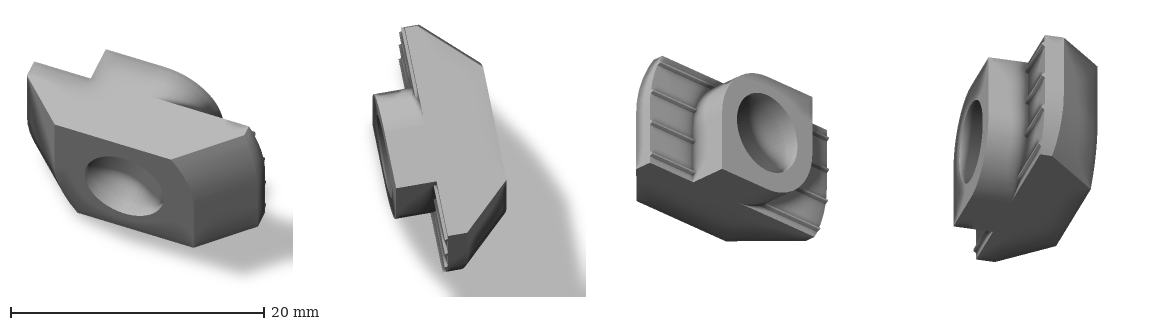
import cadquery as cq
import math

length = 19.6
width = 10.0
body_depth = 5.45
boss_depth = 3.25
bevel_depth = 3.9
hole_diameter = 6.7

rib_height = 0.23
rib_base = 0.48
rib_crest = 0.14
rib_spacing = 2.8
rib_count = 4

half_length = length / 2
half_width = width / 2
total_depth = body_depth + boss_depth
boss_radius = half_width

front_plane = cq.Plane(origin=(0, 0, 0), xDir=(1, 0, 0), normal=(0, -1, 0))


def point_on_circle(radius, height):
    """Distance from the axis along X of a circle point at the given height above the axis."""
    return math.sqrt(radius**2 - height**2)


def turning_block(radius, start, depth):
    """Block with two opposite corners rounded about the hole axis, so the nut can turn in its slot."""
    end_x = point_on_circle(radius, half_width)
    middle_z = half_width / 2
    middle_x = point_on_circle(radius, middle_z)
    return (
        cq.Workplane(front_plane)
        .workplane(offset=-start)
        .moveTo(-radius, half_width)
        .lineTo(end_x, half_width)
        .threePointArc((middle_x, middle_z), (radius, 0))
        .lineTo(radius, -half_width)
        .lineTo(-end_x, -half_width)
        .threePointArc((-middle_x, -middle_z), (-radius, 0))
        .close()
        .extrude(-depth)
    )


def bevel_envelope():
    """Space behind the -X bevel: flat above Z = 0, below it a cylinder whose axis runs along the slope."""
    reach = 2 * length
    middle_z = half_width / 2
    end_inset = half_length - point_on_circle(half_length, half_width)
    middle_inset = half_length - point_on_circle(half_length, middle_z)
    slope_plane = cq.Plane(origin=(-half_length, bevel_depth, 0), xDir=(1, 1, 0), normal=(1, -1, 0))
    return (
        cq.Workplane(slope_plane)
        .moveTo(0, half_width)
        .lineTo(reach, half_width)
        .lineTo(reach, -half_width)
        .lineTo(end_inset, -half_width)
        .threePointArc((middle_inset, -middle_z), (0, 0))
        .close()
        .extrude(reach, both=True)
    )


def body():
    """Main block with both ends of its front face beveled."""
    left_envelope = bevel_envelope()
    right_envelope = left_envelope.rotate((0, 0, 0), (0, 1, 0), 180)
    block = turning_block(half_length, 0, body_depth)
    return block.intersect(left_envelope).intersect(right_envelope)


def ribs():
    """Tapered ribs along X on the rear face, trimmed to the outline of the body."""
    lowest_z = -rib_spacing * (rib_count - 1) / 2
    bars = cq.Workplane("YZ")
    for index in range(rib_count):
        bar = (
            cq.Workplane("YZ")
            .center(body_depth, lowest_z + index * rib_spacing)
            .moveTo(0, -rib_base / 2)
            .lineTo(rib_height, -rib_crest / 2)
            .lineTo(rib_height, rib_crest / 2)
            .lineTo(0, rib_base / 2)
            .close()
            .extrude(half_length, both=True)
        )
        bars = bars.union(bar)
    return bars.intersect(turning_block(half_length, 0, total_depth))


def through_hole():
    """Plain hole through body and boss."""
    return cq.Workplane(front_plane).circle(hole_diameter / 2).extrude(-total_depth)


boss = turning_block(boss_radius, body_depth, boss_depth)
result = body().union(ribs()).union(boss).cut(through_hole())